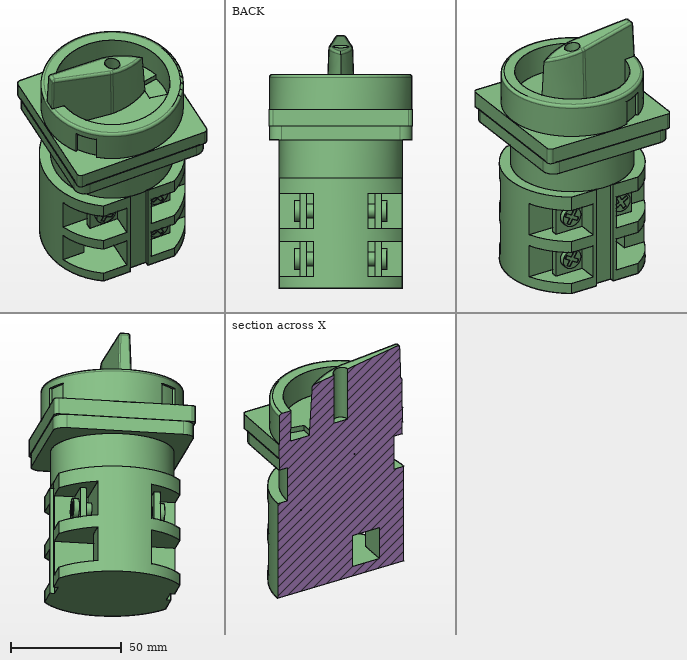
import cadquery as cq
import math

BLOCK_TOP = 49.9
NECK_TOP = 67.0
BACK_PLATE_TOP = 73.3
FRONT_PLATE_TOP = 80.8
DIAL_FLOOR = 83.5
DIAL_TOP = 96.7
OVERALL_HEIGHT = 114.2

BLOCK_RADIUS = 33.0
BLOCK_WIDTH = 55.6
GROOVE_WIDTH = 8.8
GROOVE_DEPTH = 2.0

WINDOW_HEIGHT = 16.0
WINDOW_BOTTOMS = (5.3, 26.9)
WINDOW_Y_INNER = 6.2
WINDOW_Y_OUTER = 20.1
COLUMN_HALF_WIDTH = 12.3

TERMINAL_INNER_X = 15.5
TERMINAL_THICKNESS = 2.9
SHANK_RADIUS = 3.1
HEAD_RADIUS = 4.7
HEAD_HEIGHT = 2.5
CROSS_LENGTH = 7.3
CROSS_WIDTH = 1.7
CROSS_DEPTH = 0.2
CROSS_ANGLE = 30.0

NECK_RADIUS = 28.0
BACK_PLATE_SIDE = 64.4
BACK_PLATE_CORNER = 5.4
FRONT_PLATE_SIDE = 65.0
FRONT_PLATE_CORNER = 1.9

DIAL_RADIUS = 32.2
DIAL_BORE_RADIUS = 26.0
DIAL_EDGE_RADIUS = 1.4
NOTCH_TOP = 92.5
NOTCH_DEPTH = 1.3
NOTCH_SPAN = 17.5
NOTCH_ANGLES = (206.8, 312.6)
MARK_INNER_Y = 16.3
MARK_INNER_HALF = 4.9
MARK_OUTER_HALF = 6.5

HANDLE_TIP_Y = 16.4
HANDLE_WIDEST_Y = -3.0
HANDLE_END_Y = -32.0
HANDLE_HALF_WIDTH = 6.3
HANDLE_END_HALF = 3.3
HANDLE_DRAFT = 2.0
HANDLE_SLOPE = 9.5
HANDLE_PEAK_Y = -29.6
HANDLE_SHOULDER_RADIUS = 10.3
HANDLE_CORNER_RADIUS = 0.7
HANDLE_EDGE_RADIUS = 1.3
HANDLE_HOLE_RADIUS = 3.4

TRIM_ALLOWANCE = 1.1
ZONE_REACH = 3.4


def disc(radius, bottom, top):
    """Upright cylinder on the Z axis."""
    return cq.Workplane("XY").workplane(offset=bottom).circle(radius).extrude(top - bottom)


def box(x_range, y_range, z_range):
    """Block given by its limits along each axis."""
    lows, highs = zip(x_range, y_range, z_range)
    sizes = [high - low for low, high in zip(lows, highs)]
    return cq.Workplane("XY").box(*sizes, centered=False).translate(lows)


def square_plate(side, corner, bottom, top):
    plate = cq.Workplane("XY").workplane(offset=bottom).rect(side, side).extrude(top - bottom)
    return plate.edges("|Z").fillet(corner)


def window(bottom):
    """Pair of pockets on the -Y side, open to the flats and to the round wall, with a column between."""
    pocket = box(
        (COLUMN_HALF_WIDTH, BLOCK_RADIUS),
        (-BLOCK_RADIUS, -WINDOW_Y_INNER),
        (bottom, bottom + WINDOW_HEIGHT),
    )
    return pocket.union(pocket.mirror("YZ"))


def passage(bottom):
    """Opening along X through the column, joining the two pockets of an empty window."""
    return box(
        (-COLUMN_HALF_WIDTH, COLUMN_HALF_WIDTH),
        (-WINDOW_Y_OUTER, -WINDOW_Y_INNER),
        (bottom, bottom + WINDOW_HEIGHT),
    )


def terminal(bottom):
    """Terminal plate with its screw, for the window at +X, -Y."""
    outer_x = TERMINAL_INNER_X + TERMINAL_THICKNESS
    head_x = outer_x + HEAD_HEIGHT
    plate = box(
        (TERMINAL_INNER_X, outer_x),
        (-WINDOW_Y_OUTER, -WINDOW_Y_INNER),
        (bottom, bottom + WINDOW_HEIGHT),
    )
    screw_y = -(WINDOW_Y_INNER + WINDOW_Y_OUTER) / 2
    axis = cq.Workplane("YZ", origin=(0, screw_y, bottom + WINDOW_HEIGHT / 2))
    shank = axis.workplane(offset=COLUMN_HALF_WIDTH).circle(SHANK_RADIUS).extrude(outer_x - COLUMN_HALF_WIDTH)
    head = axis.workplane(offset=outer_x).circle(HEAD_RADIUS).extrude(HEAD_HEIGHT)
    cross_plane = axis.workplane(offset=head_x).transformed(rotate=(0, 0, -CROSS_ANGLE))
    for length, width in ((CROSS_LENGTH, CROSS_WIDTH), (CROSS_WIDTH, CROSS_LENGTH)):
        head = head.cut(cross_plane.rect(length, width).extrude(-CROSS_DEPTH))
    return plate.union(shank).union(head)


def contact_block():
    flats = box((-BLOCK_WIDTH / 2, BLOCK_WIDTH / 2), (-BLOCK_RADIUS, BLOCK_RADIUS), (0, BLOCK_TOP))
    block = disc(BLOCK_RADIUS, 0, BLOCK_TOP).intersect(flats)
    groove = box(
        (BLOCK_WIDTH / 2 - GROOVE_DEPTH, BLOCK_RADIUS),
        (-GROOVE_WIDTH / 2, GROOVE_WIDTH / 2),
        (0, BLOCK_TOP),
    )
    block = block.cut(groove).cut(groove.mirror("YZ"))
    for bottom in WINDOW_BOTTOMS:
        opening = window(bottom)
        block = block.cut(opening).cut(opening.mirror("XZ"))
    lower, upper = WINDOW_BOTTOMS
    block = block.cut(passage(lower))
    for fitting in (terminal(upper), terminal(upper).mirror("XZ"), terminal(lower).mirror("XZ")):
        block = block.union(fitting).union(fitting.mirror("YZ"))
    return block


def notch(angle):
    """Shallow recess in the dial wall, with radial ends and a round floor."""
    reach = 2 * DIAL_RADIUS
    half = math.radians(NOTCH_SPAN / 2)
    middle = math.radians(angle)
    ends = [(reach * math.cos(middle + turn), reach * math.sin(middle + turn)) for turn in (-half, half)]
    height = NOTCH_TOP - FRONT_PLATE_TOP
    wedge_base = cq.Workplane("XY").workplane(offset=FRONT_PLATE_TOP)
    wedge = wedge_base.polyline([(0, 0)] + ends).close().extrude(height)
    return wedge.cut(disc(DIAL_RADIUS - NOTCH_DEPTH, FRONT_PLATE_TOP, NOTCH_TOP))


def dial():
    cup = disc(DIAL_RADIUS, FRONT_PLATE_TOP, DIAL_TOP).faces(">Z").edges().fillet(DIAL_EDGE_RADIUS)
    cup = cup.cut(disc(DIAL_BORE_RADIUS, DIAL_FLOOR, DIAL_TOP))
    for angle in NOTCH_ANGLES:
        cup = cup.cut(notch(angle))
    mark_outer_y = math.sqrt(DIAL_BORE_RADIUS**2 - MARK_OUTER_HALF**2)
    mark = (
        cq.Workplane("XY")
        .workplane(offset=FRONT_PLATE_TOP)
        .moveTo(-MARK_INNER_HALF, MARK_INNER_Y)
        .lineTo(MARK_INNER_HALF, MARK_INNER_Y)
        .lineTo(MARK_OUTER_HALF, mark_outer_y)
        .threePointArc((0, DIAL_BORE_RADIUS), (-MARK_OUTER_HALF, mark_outer_y))
        .close()
        .extrude(DIAL_FLOOR - FRONT_PLATE_TOP)
    )
    return cup.cut(mark)


def handle():
    """Drafted leaf-shaped grip with a sloping, rounded top."""
    arc_rise = HANDLE_TIP_Y - HANDLE_WIDEST_Y
    arc_radius = (HANDLE_HALF_WIDTH**2 + arc_rise**2) / (2 * HANDLE_HALF_WIDTH)
    half_sweep = math.asin(arc_rise / arc_radius) / 2
    arc_mid_x = HANDLE_HALF_WIDTH - arc_radius * (1 - math.cos(half_sweep))
    arc_mid_y = HANDLE_WIDEST_Y + arc_radius * math.sin(half_sweep)
    grip = (
        cq.Workplane("XY")
        .workplane(offset=DIAL_FLOOR)
        .moveTo(0, HANDLE_TIP_Y)
        .threePointArc((arc_mid_x, arc_mid_y), (HANDLE_HALF_WIDTH, HANDLE_WIDEST_Y))
        .lineTo(HANDLE_END_HALF, HANDLE_END_Y)
        .lineTo(-HANDLE_END_HALF, HANDLE_END_Y)
        .lineTo(-HANDLE_HALF_WIDTH, HANDLE_WIDEST_Y)
        .threePointArc((-arc_mid_x, arc_mid_y), (0, HANDLE_TIP_Y))
        .close()
        .extrude(OVERALL_HEIGHT + TRIM_ALLOWANCE - DIAL_FLOOR, taper=HANDLE_DRAFT)
    )
    shoulder_zone = cq.selectors.BoxSelector(
        (-BLOCK_RADIUS, HANDLE_WIDEST_Y - ZONE_REACH, DIAL_FLOOR),
        (BLOCK_RADIUS, HANDLE_WIDEST_Y + ZONE_REACH, OVERALL_HEIGHT),
    )
    grip = grip.edges("not #Z").edges(shoulder_zone).fillet(HANDLE_SHOULDER_RADIUS)
    end_zone = cq.selectors.BoxSelector(
        (-BLOCK_RADIUS, HANDLE_END_Y, DIAL_FLOOR),
        (BLOCK_RADIUS, HANDLE_END_Y + ZONE_REACH, OVERALL_HEIGHT),
    )
    grip = grip.edges("not #Z").edges(end_zone).fillet(HANDLE_CORNER_RADIUS)
    above_slope = (
        cq.Workplane("XY", origin=(0, HANDLE_PEAK_Y, OVERALL_HEIGHT))
        .transformed(rotate=(-HANDLE_SLOPE, 0, 0))
        .rect(4 * BLOCK_RADIUS, 4 * BLOCK_RADIUS)
        .extrude(OVERALL_HEIGHT)
    )
    grip = grip.cut(above_slope).faces(">Z").edges().fillet(HANDLE_EDGE_RADIUS)
    return grip.cut(disc(HANDLE_HOLE_RADIUS, DIAL_FLOOR, OVERALL_HEIGHT))


block = contact_block()
neck = disc(NECK_RADIUS, BLOCK_TOP, NECK_TOP)
back_plate = square_plate(BACK_PLATE_SIDE, BACK_PLATE_CORNER, NECK_TOP, BACK_PLATE_TOP)
front_plate = square_plate(FRONT_PLATE_SIDE, FRONT_PLATE_CORNER, BACK_PLATE_TOP, FRONT_PLATE_TOP)

result = block.union(neck).union(back_plate).union(front_plate).union(dial()).union(handle())